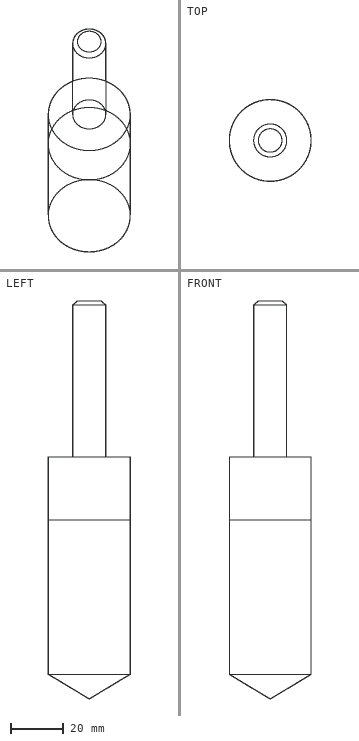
import cadquery as cq

total_length = 152.4
body_diameter = 31.4
point_height = 9.5
joint_height = 68.6
shoulder_height = 92.7
shank_diameter = 12.6
chamfer_height = 1.5
chamfer_width = 1.8

body_radius = body_diameter / 2
shank_radius = shank_diameter / 2


def make_pointed_body():
    """Cylindrical lower body ending in a conical point."""
    profile = [
        (0, 0),
        (body_radius, point_height),
        (body_radius, joint_height),
        (0, joint_height),
    ]
    return cq.Workplane("XZ").polyline(profile).close().revolve(360, (0, 0), (0, 1))


def make_shank_cap():
    """Upper cap with a slim shank, bevelled at its free end."""
    profile = [
        (0, joint_height),
        (body_radius, joint_height),
        (body_radius, shoulder_height),
        (shank_radius, shoulder_height),
        (shank_radius, total_length - chamfer_height),
        (shank_radius - chamfer_width, total_length),
        (0, total_length),
    ]
    return cq.Workplane("XZ").polyline(profile).close().revolve(360, (0, 0), (0, 1))


pointed_body = make_pointed_body()
shank_cap = make_shank_cap()

result = cq.Compound.makeCompound([pointed_body.val(), shank_cap.val()])